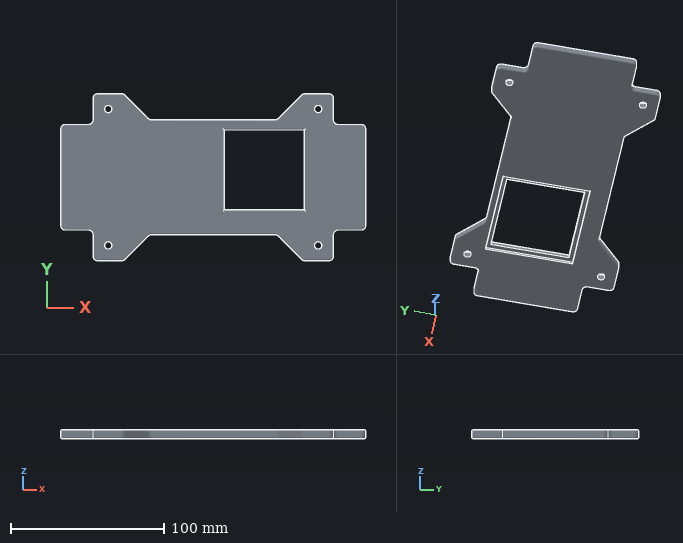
import cadquery as cq
length = 199.0
width = 109.0
thickness = 6.0
end_width = 69.0
waist_width = 75.0
tab_span = 156.8
tab_length = 19.9
corner_radius = 3.0
edge_radius = 1.0

window_size = 52.0
window_x = 33.2
window_y = 4.8

recess_margin = 3.0
recess_depth = 2.0

hole_diameter = 4.5
hole_spacing_x = 137.0
hole_spacing_y = 89.0


def make_outline():
    """Closed outline with four corner tabs, each running down to the waist at 45 degrees."""
    tab_outer_x = tab_span / 2
    tab_inner_x = tab_outer_x - tab_length
    slope_run = (width - waist_width) / 2
    quarter = [
        (length / 2, end_width / 2),
        (tab_outer_x, end_width / 2),
        (tab_outer_x, width / 2),
        (tab_inner_x, width / 2),
        (tab_inner_x - slope_run, waist_width / 2),
    ]
    upper_half = quarter + [(-x, y) for x, y in reversed(quarter)]
    lower_half = [(x, -y) for x, y in reversed(upper_half)]
    return cq.Workplane("XY").polyline(upper_half + lower_half).close()


def make_square_block(size, height):
    """Square block centred on the window, standing on the underside plane."""
    return cq.Workplane("XY").center(window_x, window_y).rect(size, size).extrude(height)


def make_plate():
    """Plate with rounded outline corners, the window, and rounded top and bottom edges."""
    plate = make_outline().extrude(thickness).edges("|Z").fillet(corner_radius)
    plate = plate.cut(make_square_block(window_size, thickness))
    plate = plate.faces(">Z").edges().fillet(edge_radius)
    underside_rim = plate.faces("<Z").val().outerWire()
    return plate.newObject(underside_rim.Edges()).fillet(edge_radius)


def cut_recess(plate):
    """Cut the recess around the window into the underside, leaving a lip at the top."""
    return plate.cut(make_square_block(window_size + 2 * recess_margin, recess_depth))


def drill_holes(plate):
    """Drill the plain mounting holes through the tabs."""
    drills = (
        cq.Workplane("XY")
        .rect(hole_spacing_x, hole_spacing_y, forConstruction=True)
        .vertices()
        .circle(hole_diameter / 2)
        .extrude(thickness)
    )
    return plate.cut(drills)


result = drill_holes(cut_recess(make_plate()))